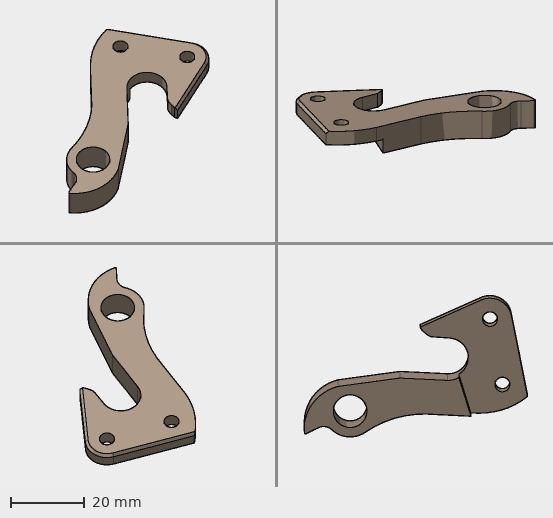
import cadquery as cq
import math

thickness = 8.0
plate_thickness = thickness / 2
step_y = 30.95
step_clearance = 0.6
edge_chamfer = 0.75
tip_fillet = 0.4

pivot_hole_radius = 4.55
boss_radius = 7.2
mount_hole_radius = 2.0
left_mount = (-5.8, 41.4)
right_mount = (12.6, 43.5)
corner_radius = 5.85

slot_center = (5.7, 29.55)
slot_radius = 5.4

plate_corner = (-10.95, 46.95)
hook_tip = (16.0, 24.7)
hook_nose = (14.0, 25.5)
hook_flat_end = (15.05, 24.9)
hook_inner = (12.55, 26.8)
arm_knee = (4.9, 15.6)
lower_tip = (-2.65, -13.75)


def point_on_circle(center, radius, angle):
    return (center[0] + radius * math.cos(angle), center[1] + radius * math.sin(angle))


def tangent_angle(point, center, radius, side):
    """Angle on the circle where a line from an outside point touches it; side is +1 or -1."""
    dx = point[0] - center[0]
    dy = point[1] - center[1]
    return math.atan2(dy, dx) + side * math.acos(radius / math.hypot(dx, dy))


top_angle = tangent_angle(plate_corner, right_mount, corner_radius, -1)
side_angle = tangent_angle(hook_tip, right_mount, corner_radius, 1)
corner_top = point_on_circle(right_mount, corner_radius, top_angle)
corner_middle = point_on_circle(right_mount, corner_radius, (top_angle + side_angle) / 2)
corner_side = point_on_circle(right_mount, corner_radius, side_angle)

slot_left = point_on_circle(slot_center, slot_radius, tangent_angle(arm_knee, slot_center, slot_radius, -1))
slot_top = point_on_circle(slot_center, slot_radius, math.pi / 2)
slot_right = point_on_circle(slot_center, slot_radius, tangent_angle(hook_inner, slot_center, slot_radius, 1))

boss_start = point_on_circle((0, 0), boss_radius, math.radians(161))
boss_middle = point_on_circle((0, 0), boss_radius, math.radians(202))
boss_end = point_on_circle((0, 0), boss_radius, math.radians(243))


def make_outline():
    return (
        cq.Workplane("XY")
        .moveTo(*plate_corner)
        .threePointArc((-12.3, 42.35), (-12.55, 39.15))
        .threePointArc((-12.3, 36.0), (-11.6, 32.9))
        .lineTo(-6.75, 19.4)
        .threePointArc((-5.4, 10.95), boss_start)
        .threePointArc(boss_middle, boss_end)
        .threePointArc((-2.3, -7.5), (-1.95, -9.8))
        .lineTo(*lower_tip)
        .threePointArc((4.9, -9.25), (7.55, -1.15))
        .lineTo(*arm_knee)
        .lineTo(*slot_left)
        .threePointArc(slot_top, slot_right)
        .lineTo(*hook_inner)
        .threePointArc((13.25, 26.1), hook_nose)
        .lineTo(*hook_flat_end)
        .lineTo(*hook_tip)
        .lineTo(*corner_side)
        .threePointArc(corner_middle, corner_top)
        .close()
    )


def near_point(point, z):
    return cq.selectors.NearestToPointSelector((point[0], point[1], z))


def midpoint(start, end):
    return ((start[0] + end[0]) / 2, (start[1] + end[1]) / 2)


def cut_step(body):
    box = body.val().BoundingBox()
    relief = cq.Workplane("XY").box(box.xlen, box.ymax - step_y, plate_thickness, centered=False)
    body = body.cut(relief.translate((box.xmin, step_y, 0)))
    hook_relief = cq.Workplane("XY").box(box.xlen, step_y, plate_thickness, centered=False)
    hook_relief = hook_relief.translate((slot_center[0] + slot_radius / 2, hook_tip[1] - step_clearance, 0))
    return body.cut(hook_relief)


body = make_outline().extrude(thickness)
body = body.edges(near_point(lower_tip, thickness / 2)).fillet(tip_fillet)

outer_edges = cq.selectors.SumSelector(
    near_point(midpoint(plate_corner, corner_top), thickness),
    cq.selectors.SumSelector(
        near_point(corner_middle, thickness),
        near_point(midpoint(corner_side, hook_tip), thickness),
    ),
)
body = body.faces(">Z").edges(outer_edges).chamfer(edge_chamfer)
body = body.edges(near_point(plate_corner, plate_thickness)).fillet(tip_fillet)
body = cut_step(body)

pivot_hole = cq.Workplane("XY").circle(pivot_hole_radius).extrude(thickness)
mount_holes = (
    cq.Workplane("XY")
    .pushPoints([left_mount, right_mount])
    .circle(mount_hole_radius)
    .extrude(thickness)
)
result = body.cut(pivot_hole).cut(mount_holes)